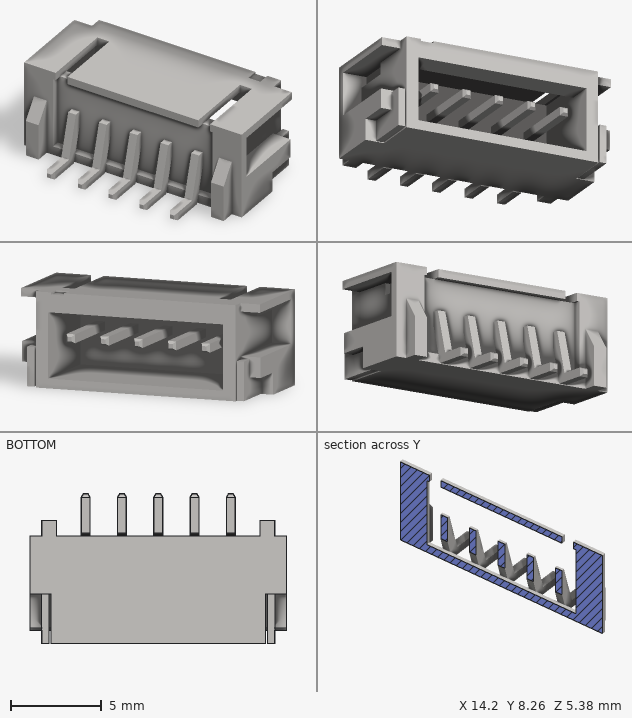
import cadquery as cq


housing_width = 14.15
housing_depth = 5.94
housing_height = 5.38
core_width = 11.84
wing_depth = 5.21
roof_thickness = 0.47

wing_front_wall = 0.47
ledge_top = 2.39
ledge_bottom = 1.24
ledge_depth = 5.08
wing_foot_depth = 3.21

side_pocket_depth = 0.3
side_pocket_length = 2.27
side_pocket_height = 0.68

cavity_width = 10.38
front_recess_depth = 0.47
floor_thickness = 0.55
cavity_front = 1.11
lip_front = 4.33
lip_thickness = 1.12

slot_inner_x = 4.25
slot_width = 0.77
slot_outer_x = slot_inner_x + slot_width
mark_depth = 0.12

pin_count = 5
pin_pitch = 2.0
pin_size = 0.5
pin_top = 3.05
pin_rear_tip = 5.74
pin_front_tip = -2.32
pin_taper_length = 0.2
pin_taper_inset = 0.12
upper_bend_y = 0.07
foot_bend_y = -0.64
leg_thickness_y = 0.5

tab_outer_x = 6.43
tab_front_width = 0.83
tab_front_reach = 0.85
tab_front_height = 3.4
tab_front_shoulder = 2.24
tab_rear_thickness = 0.41
tab_rear_height = 2.26
tab_clearance = 0.04
tab_embed = 0.5


def box(x_range, y_range, z_range):
    """Box between two limits on each axis."""
    size = [high - low for low, high in (x_range, y_range, z_range)]
    corner = (x_range[0], y_range[0], z_range[0])
    return cq.Workplane("XY").box(*size, centered=False).translate(corner)


def mirrored(shape):
    """The shape together with its mirror image across X = 0."""
    return shape.union(shape.mirror("YZ"))


def extrude_side_profile(points, x_start, width):
    """Extrude a (Y, Z) outline along +X from x_start."""
    return cq.Workplane("YZ", origin=(x_start, 0, 0)).polyline(points).close().extrude(width)


def centred(width):
    """Limits of a span centred on zero."""
    return (-width / 2, width / 2)


def make_wing():
    """Right-hand wing: roof, front wall, ledge and foot beside the core."""
    span = (core_width / 2, housing_width / 2)
    roof_bottom = housing_height - roof_thickness
    wing = box(span, (0, wing_depth), (roof_bottom, housing_height))
    wing = wing.union(box(span, (0, wing_front_wall), (0, housing_height)))
    wing = wing.union(box(span, (0, ledge_depth), (ledge_bottom, ledge_top)))
    return wing.union(box(span, (0, wing_foot_depth), (0, ledge_top)))


def make_cavity():
    """Mating cavity, open to the rear below a thicker lip of the roof."""
    span = centred(cavity_width)
    roof_bottom = housing_height - roof_thickness
    lip_bottom = housing_height - lip_thickness
    room = box(span, (cavity_front, lip_front), (floor_thickness, roof_bottom))
    mouth = box(span, (cavity_front, housing_depth), (floor_thickness, lip_bottom))
    return room.union(mouth)


def make_housing():
    core = box(centred(core_width), (0, housing_depth), (0, housing_height))
    body = core.union(mirrored(make_wing()))
    roof_bottom = housing_height - roof_thickness
    body = body.cut(box(centred(cavity_width), (0, front_recess_depth), (floor_thickness, roof_bottom)))
    body = body.cut(make_cavity())

    slot_span = (slot_inner_x, slot_outer_x)
    body = body.cut(mirrored(box(slot_span, (0, lip_front), (roof_bottom, housing_height))))
    mark_bottom = housing_height - mark_depth
    body = body.cut(box(slot_span, (wing_depth, housing_depth), (mark_bottom, housing_height)))

    pocket = box(
        (core_width / 2 - side_pocket_depth, core_width / 2),
        (wing_front_wall, wing_front_wall + side_pocket_length),
        (roof_bottom - side_pocket_height, roof_bottom),
    )
    return body.cut(mirrored(pocket))


def make_pin_tip(y_base, y_direction, z_centre):
    """Square tip tapering away from y_base; y_direction is +1 or -1."""
    end_size = pin_size - 2 * pin_taper_inset
    return (
        cq.Workplane("XZ", origin=(0, y_base, z_centre))
        .rect(pin_size, pin_size)
        .workplane(offset=-y_direction * pin_taper_length)
        .rect(end_size, end_size)
        .loft()
    )


def make_pin():
    """Contact pin: horizontal post, sloping leg and solder foot."""
    post_end = pin_rear_tip - pin_taper_length
    foot_end = pin_front_tip + pin_taper_length
    post_bottom = pin_top - pin_size
    outline = [
        (post_end, pin_top),
        (upper_bend_y, pin_top),
        (foot_bend_y, pin_size),
        (foot_end, pin_size),
        (foot_end, 0),
        (foot_bend_y + leg_thickness_y, 0),
        (upper_bend_y + leg_thickness_y, post_bottom),
        (post_end, post_bottom),
    ]
    pin = extrude_side_profile(outline, -pin_size / 2, pin_size)
    pin = pin.union(make_pin_tip(post_end, 1, pin_top - pin_size / 2))
    return pin.union(make_pin_tip(foot_end, -1, pin_size / 2))


def make_tabs():
    """Solder tabs: a sloped block in front and a thin plate behind each wing."""
    block_outline = [
        (0, 0),
        (-tab_front_reach, 0),
        (-tab_front_reach, tab_front_shoulder),
        (0, tab_front_height),
    ]
    block = extrude_side_profile(block_outline, tab_outer_x - tab_front_width, tab_front_width)
    plate = box(
        (tab_outer_x - tab_rear_thickness, tab_outer_x),
        (wing_foot_depth - tab_embed, housing_depth),
        (tab_clearance, tab_rear_height),
    )
    return mirrored(block.union(plate))


result = make_housing().union(make_tabs())
for index in range(pin_count):
    pin_x = (index - (pin_count - 1) / 2) * pin_pitch
    result = result.union(make_pin().translate((pin_x, 0, 0)))